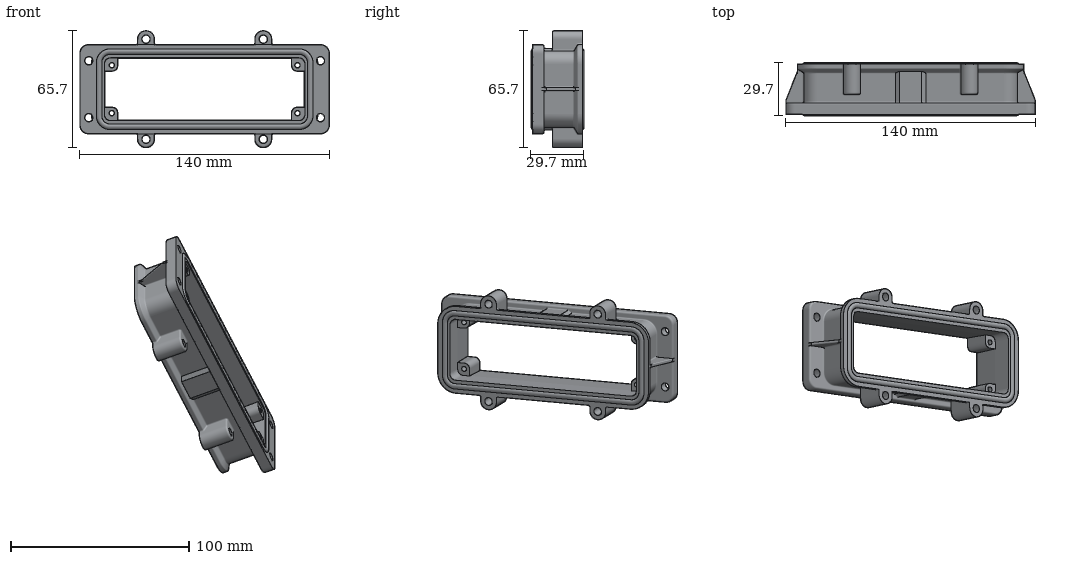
import cadquery as cq
import math

FLANGE_LENGTH = 140.0
FLANGE_HEIGHT = 50.1
FLANGE_THICKNESS = 6.5
FLANGE_CORNER = 5.0
FLANGE_ROUND = 1.1
MOUNT_HOLE_X = 65.0
MOUNT_HOLE_Z = 16.0
MOUNT_HOLE_DIAMETER = 4.5

REAR_Y = 28.1
RIM_LENGTH = 127.1
RIM_HEIGHT = FLANGE_HEIGHT
RIM_CORNER = 11.0
RIM_BEVEL_START = 25.3
RIM_BEVEL_END = 23.2
RIM_STEP = 3.6
RIM_ROUND = 0.8
BODY_LENGTH = RIM_LENGTH - 2 * RIM_STEP
BODY_HEIGHT = RIM_HEIGHT - 2 * RIM_STEP
BODY_CORNER = RIM_CORNER - RIM_STEP
BODY_ROOT_ROUND = 0.7

OPENING_LENGTH = 111.7
OPENING_HEIGHT = 34.5
OPENING_CORNER = 3.2
OPENING_DRAFT = 1.5
PARTING_Y = 17.0

BEAD_LENGTH = 121.5
BEAD_HEIGHT = 45.2
BEAD_CORNER = 7.7
BEAD_WIDTH = 3.1
BEAD_RISE = 0.8

BOSS_X = 52.1
BOSS_Z = 13.5
BOSS_REACH = 3.4
BOSS_CORNER = 3.2
BOSS_FRONT_Y = 1.0
BOSS_HOLE_DIAMETER = 2.8

LUG_X = 32.9
LUG_RADIUS = 4.8
LUG_SPAN = 65.7
LUG_TIP_Z = LUG_SPAN / 2
LUG_CENTER_Z = LUG_TIP_Z - LUG_RADIUS
LUG_LENGTH = 17.1
LUG_HOLE_DIAMETER = 4.5
LUG_FRONT_ROUND = 1.0
LUG_ROOT_ROUND = 0.8

PAD_BASE_WIDTH = 17.1
PAD_TOP_WIDTH = 12.3
PAD_RISE = 1.5

RIB_WIDTH = 1.7
RIB_CREST_ROUND = 0.4
RIB_FOOT_Y = 7.8
RIB_TOP_Y = 24.1

OVERLAP = 1.4
SLACK = 0.1

SIDES = (-1, 1)


def depth_plane(y):
    """Plane at depth Y = y whose normal points to the rear (+Y)."""
    return cq.Workplane(cq.Plane(origin=(0, y, 0), xDir=(-1, 0, 0), normal=(0, 1, 0)))


def rounded_block(length, height, corner, y_start, y_end):
    block = depth_plane(y_start).rect(length, height).extrude(y_end - y_start)
    return block.edges("|Y").fillet(corner)


def tapered_block(length, height, corner, y_start, depth, taper):
    outline = cq.Sketch().rect(length, height).vertices().fillet(corner)
    return depth_plane(y_start).placeSketch(outline).extrude(depth, taper=taper)


def edges_within(x_range, y_range, z_range):
    """Selector for edges lying wholly inside a box; each range may be given in either order."""
    low = [min(limits) - SLACK for limits in (x_range, y_range, z_range)]
    high = [max(limits) + SLACK for limits in (x_range, y_range, z_range)]
    return cq.selectors.BoxSelector(low, high, boundingbox=True)


def make_flange():
    flange = rounded_block(FLANGE_LENGTH, FLANGE_HEIGHT, FLANGE_CORNER, 0, FLANGE_THICKNESS)
    return flange.faces(">Y").edges().fillet(FLANGE_ROUND)


def make_body():
    return rounded_block(BODY_LENGTH, BODY_HEIGHT, BODY_CORNER, 0, REAR_Y)


def make_rim():
    """Rim block and its bevel down to the body, with both bevel edges rounded."""
    rim = rounded_block(RIM_LENGTH, RIM_HEIGHT, RIM_CORNER, RIM_BEVEL_START, REAR_Y)
    bevel_depth = RIM_BEVEL_START - RIM_BEVEL_END
    bevel_angle = math.degrees(math.atan2(RIM_STEP, bevel_depth))
    bevel = tapered_block(RIM_LENGTH, RIM_HEIGHT, RIM_CORNER, RIM_BEVEL_START, -bevel_depth, bevel_angle)
    bevel_edges = edges_within(
        (-RIM_LENGTH / 2, RIM_LENGTH / 2),
        (RIM_BEVEL_END, RIM_BEVEL_START),
        (-RIM_HEIGHT / 2, RIM_HEIGHT / 2),
    )
    return make_body().union(rim).union(bevel).edges(bevel_edges).edges("#Y").fillet(RIM_ROUND)


def make_pad(side):
    """Raised pad with sloping flanks, running from the flange into the rim bevel."""
    base_z = side * BODY_HEIGHT / 2
    root_z = base_z - side * OVERLAP
    top_z = base_z + side * PAD_RISE
    return (
        cq.Workplane("XZ", origin=(0, RIM_BEVEL_START, 0))
        .moveTo(-PAD_BASE_WIDTH / 2, root_z)
        .lineTo(-PAD_BASE_WIDTH / 2, base_z)
        .lineTo(-PAD_TOP_WIDTH / 2, top_z)
        .lineTo(PAD_TOP_WIDTH / 2, top_z)
        .lineTo(PAD_BASE_WIDTH / 2, base_z)
        .lineTo(PAD_BASE_WIDTH / 2, root_z)
        .close()
        .extrude(RIM_BEVEL_START - FLANGE_THICKNESS / 2)
    )


def make_rib(side):
    """Triangular web from the flange edge up to the rim, with a rounded sloping crest."""
    inner_x = side * (BODY_LENGTH / 2 - OVERLAP)
    foot_x = side * FLANGE_LENGTH / 2
    top_x = side * RIM_LENGTH / 2
    base_y = FLANGE_THICKNESS - FLANGE_ROUND
    rib = (
        cq.Workplane("XY")
        .moveTo(inner_x, RIM_BEVEL_START + RIM_ROUND)
        .lineTo(top_x, RIM_BEVEL_START + RIM_ROUND)
        .lineTo(top_x, RIB_TOP_Y)
        .lineTo(foot_x, RIB_FOOT_Y)
        .lineTo(foot_x, base_y)
        .lineTo(inner_x, base_y)
        .close()
        .extrude(RIB_WIDTH / 2, both=True)
    )
    crest = edges_within((top_x, foot_x), (RIB_FOOT_Y, RIB_TOP_Y), (-RIB_WIDTH, RIB_WIDTH))
    return rib.edges(crest).edges("#Z").fillet(RIB_CREST_ROUND)


def make_lug(x, side):
    """Round-topped lug along the rear part of a long side, with a rounded front edge."""
    root_z = side * (OPENING_HEIGHT / 2 + OVERLAP)
    center_z = side * LUG_CENTER_Z
    lug = (
        cq.Workplane("XZ", origin=(x, REAR_Y, 0))
        .moveTo(-LUG_RADIUS, root_z)
        .lineTo(-LUG_RADIUS, center_z)
        .threePointArc((0, side * LUG_TIP_Z), (LUG_RADIUS, center_z))
        .lineTo(LUG_RADIUS, root_z)
        .close()
        .extrude(LUG_LENGTH)
    )
    root_edge = "<Z" if side > 0 else ">Z"
    return lug.faces("<Y").edges(f"not ({root_edge})").fillet(LUG_FRONT_ROUND)


def lug_root_edges(x, side):
    return edges_within(
        (x - LUG_RADIUS, x + LUG_RADIUS),
        (REAR_Y - LUG_LENGTH, REAR_Y),
        (side * BODY_HEIGHT / 2, side * RIM_HEIGHT / 2),
    )


def make_opening():
    """Through opening whose two parts widen from the parting plane to the front and the rear."""
    rear_depth = REAR_Y + OVERLAP - PARTING_Y
    front_depth = PARTING_Y + OVERLAP
    size = (OPENING_LENGTH, OPENING_HEIGHT, OPENING_CORNER, PARTING_Y)
    return tapered_block(*size, rear_depth, -OPENING_DRAFT).union(
        tapered_block(*size, -front_depth, -OPENING_DRAFT)
    )


def make_boss(side_x, side_z):
    """Corner boss filling one corner of the opening, with one rounded free corner."""
    free_x = BOSS_X - BOSS_REACH
    free_z = BOSS_Z - BOSS_REACH
    wall_x = OPENING_LENGTH / 2 + OVERLAP
    wall_z = OPENING_HEIGHT / 2 + OVERLAP
    boss = (
        depth_plane(BOSS_FRONT_Y)
        .center(-side_x * (wall_x + free_x) / 2, side_z * (wall_z + free_z) / 2)
        .rect(wall_x - free_x, wall_z - free_z)
        .extrude(PARTING_Y - BOSS_FRONT_Y)
    )
    free_corner = cq.selectors.NearestToPointSelector((0, PARTING_Y / 2, 0))
    return boss.edges("|Y").edges(free_corner).fillet(BOSS_CORNER)


def make_bead(y):
    """Closed bead of lens-shaped section, half sunk into the face at Y = y."""
    length = BEAD_LENGTH - BEAD_WIDTH
    height = BEAD_HEIGHT - BEAD_WIDTH
    center_z = height / 2
    inner_z = center_z - BEAD_WIDTH / 2
    outer_z = center_z + BEAD_WIDTH / 2
    path = rounded_block(length, height, BEAD_CORNER - BEAD_WIDTH / 2, y, REAR_Y + y).faces("<Y").wires()
    section = (
        cq.Workplane("YZ")
        .moveTo(y, inner_z)
        .threePointArc((y - BEAD_RISE, center_z), (y, outer_z))
        .threePointArc((y + BEAD_RISE, center_z), (y, inner_z))
        .close()
    )
    return section.sweep(path)


def make_holes(x, z, diameter, y_end):
    """Four holes from the front to Y = y_end, mirrored about both middle planes."""
    points = [(side_x * x, side_z * z) for side_x in SIDES for side_z in SIDES]
    front_y = -OVERLAP
    return depth_plane(front_y).pushPoints(points).circle(diameter / 2).extrude(y_end - front_y)


part = make_flange().union(make_body())
for side in SIDES:
    part = part.union(make_pad(side)).union(make_rib(side))

flange_root = edges_within(
    (-BODY_LENGTH / 2, BODY_LENGTH / 2),
    (FLANGE_THICKNESS, FLANGE_THICKNESS),
    (-BODY_HEIGHT / 2 - PAD_RISE, BODY_HEIGHT / 2 + PAD_RISE),
)
rib_roots = edges_within(
    (-BODY_LENGTH / 2, BODY_LENGTH / 2),
    (FLANGE_THICKNESS, REAR_Y),
    (-RIB_WIDTH / 2, RIB_WIDTH / 2),
)
root_edges = part.edges(flange_root).add(part.edges(rib_roots).edges("|Y"))
part = root_edges.fillet(BODY_ROOT_ROUND)

part = part.union(make_rim())
for side in SIDES:
    for x in (-LUG_X, LUG_X):
        part = part.union(make_lug(x, side))
        part = part.edges(lug_root_edges(x, side)).fillet(LUG_ROOT_ROUND)

part = part.cut(make_opening())
for side_x in SIDES:
    for side_z in SIDES:
        part = part.union(make_boss(side_x, side_z))
for face_y in (0, REAR_Y):
    part = part.union(make_bead(face_y))

part = part.cut(make_holes(MOUNT_HOLE_X, MOUNT_HOLE_Z, MOUNT_HOLE_DIAMETER, FLANGE_THICKNESS + OVERLAP))
part = part.cut(make_holes(BOSS_X, BOSS_Z, BOSS_HOLE_DIAMETER, REAR_Y))
part = part.cut(make_holes(LUG_X, LUG_CENTER_Z, LUG_HOLE_DIAMETER, REAR_Y + OVERLAP))

result = cq.Workplane(part.solids().val())